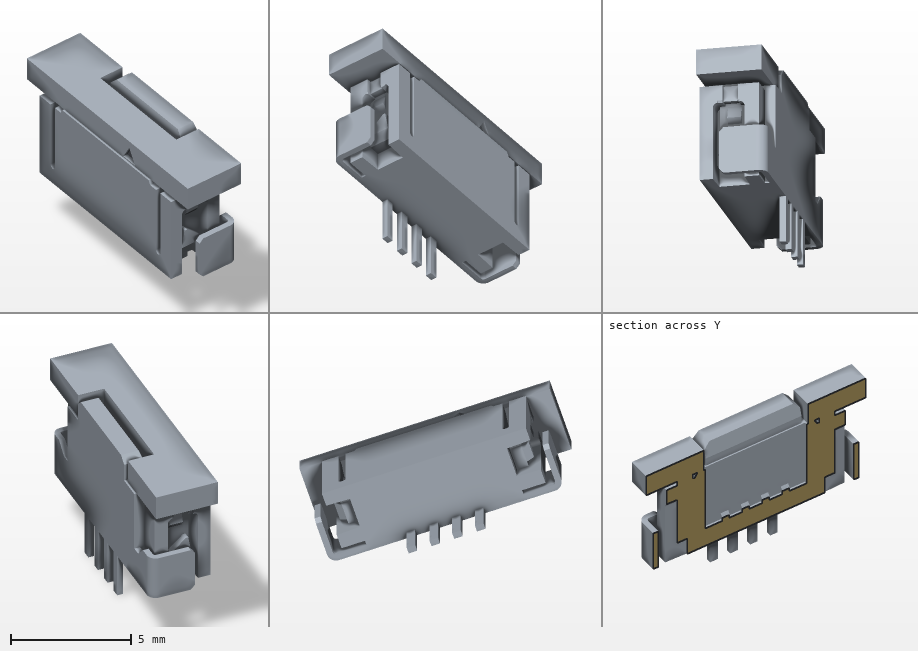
import cadquery as cq
import math


depth = 3.0
housing_top = 4.3
housing_width = 8.98
shoulder_top = 4.1
front_wall = 0.56
channel_back = 1.89
back_step = 2.54
core_width = 6.91
crown_width = 5.9
crown_chamfer_run = 0.11

channel_top = 3.34
channel_draft = 0.03
channel_radius = 0.22
groove_front = 0.97
groove_back = 1.65
groove_depth = 0.22
lintel_bevel_depth = 0.04
lintel_bevel_height = 0.1
lintel_bevel_back = 1.72
slot_width = 0.3
slot_bottom = 0.77

cover_width = 11.0
cover_thickness = 1.1
cover_front = 0.1
cover_depth = 2.8
cover_top = housing_top + cover_thickness
notch_width = 5.19
notch_front = 1.73
mark_width = 0.8
mark_height = 0.69
mark_bottom = 4.37
mark_depth = 0.2

arm_outer = 3.96
arm_neck_inner = 3.16
arm_front = 0.75
arm_neck_front = 0.31
arm_neck_bottom = 3.44
arm_bottom = 0.86
arm_chamfer_run = 0.18
arm_chamfer_rise = 0.2
bump_reach = 0.18
barb_reach = 0.31
bump_front, bump_back = 1.09, 1.69
bump_bottom, bump_peak, bump_top = 2.53, 2.77, 3.3
barb_back = 1.69
barb_top_front = 0.9
barb_top_back = 1.01
barb_back_height = 1.42
barb_peak = 1.15
barb_top = 2.02

tongue_width = 4.8
tongue_front = 2.02
tongue_bevel_side = 0.31
tongue_bevel_front = 0.18
tongue_end_bevel_height = 0.3
tongue_front_bevel_height = 0.7

cable_slot_width = 5.06
cable_slot_back = 1.96
cable_slot_depth = 3.3
contact_count = 4
contact_pitch = 1.0
contact_width = 0.37
contact_height = 0.33
pin_thickness = 0.26
pin_length = 2.0

bracket_width = 10.3
bracket_thickness = 0.26
bracket_height = 2.01
bracket_length = 2.01
bracket_inner_radius = 0.13
bracket_corner = 0.19
leg_taper_start = 4.35
leg_taper_end = 3.85

core_half = core_width / 2
housing_half = housing_width / 2
first_contact = -contact_pitch * (contact_count - 1) / 2
contact_centres = [first_contact + i * contact_pitch for i in range(contact_count)]


def block(x0, x1, y0, y1, z0, z1):
    """Box given by its limits along each axis."""
    return cq.Workplane("XY").box(x1 - x0, y1 - y0, z1 - z0, centered=False).translate((x0, y0, z0))


def front_prism(points, y0, y1):
    """Extrude an XZ outline from y0 to y1."""
    return cq.Workplane("XZ", origin=(0, y0, 0)).polyline(points).close().extrude(y0 - y1)


def side_prism(points, x0, x1):
    """Extrude a YZ outline from x0 to x1."""
    return cq.Workplane("YZ", origin=(x0, 0, 0)).polyline(points).close().extrude(x1 - x0)


def both_sides(left):
    """Return the left-hand shape joined with its mirror image."""
    return left.union(left.mirror("YZ"))


def make_crown():
    """Raised middle of the housing top, with sloped ends."""
    half = crown_width / 2
    half_base = half + crown_chamfer_run
    outline = [
        (-half_base, shoulder_top),
        (half_base, shoulder_top),
        (half, housing_top),
        (-half, housing_top),
    ]
    return front_prism(outline, 0, channel_back)


def make_channel():
    """Left-hand channel, open at the side and bottom, with a groove above and a front slot."""
    room = (
        cq.Workplane("XY")
        .polyline(
            [
                (-housing_half, front_wall),
                (-core_half, front_wall + channel_draft),
                (-core_half, channel_back),
                (-housing_half, channel_back + channel_draft),
            ]
        )
        .close()
        .extrude(channel_top)
        .faces(">Z")
        .edges("not |Y")
        .fillet(channel_radius)
    )
    groove_floor = housing_half - groove_depth
    groove_foot = channel_top + lintel_bevel_height
    groove = block(-housing_half, -groove_floor, groove_front, groove_back, groove_foot, shoulder_top)
    passage = block(-housing_half, -arm_outer, groove_front, groove_back, channel_top, groove_foot)
    lintel_bevel = front_prism(
        [
            (-housing_half, channel_top),
            (-housing_half + lintel_bevel_depth, channel_top),
            (-housing_half, groove_foot),
        ],
        arm_front,
        lintel_bevel_back,
    )
    slot_radius = slot_width / 2
    slot_centre = -core_half - slot_radius
    slot_round = slot_bottom + slot_radius
    slot = block(-core_half - slot_width, -core_half, 0, arm_front, slot_round, housing_top)
    slot_end = (
        cq.Workplane("XZ")
        .center(slot_centre, slot_round)
        .circle(slot_radius)
        .extrude(-arm_front)
    )
    upper_relief = passage.union(groove).union(lintel_bevel)
    return room.union(upper_relief).union(slot).union(slot_end)


def make_housing():
    flanks = block(-housing_half, housing_half, 0, back_step, 0, shoulder_top)
    core = block(-core_half, core_half, channel_back, depth, 0, housing_top)
    body = flanks.union(core).union(make_crown())
    return body.cut(both_sides(make_channel()))


def make_tongue():
    """Upright tongue with sloped top edges on the front and both ends."""
    half = tongue_width / 2
    tongue = block(-half, half, tongue_front, depth, housing_top, cover_top)
    front_bevel = side_prism(
        [
            (tongue_front, cover_top - tongue_front_bevel_height),
            (tongue_front + tongue_bevel_front, cover_top),
            (tongue_front, cover_top),
        ],
        -half,
        half,
    )
    end_bevel = front_prism(
        [
            (-half, cover_top - tongue_end_bevel_height),
            (-half + tongue_bevel_side, cover_top),
            (-half, cover_top),
        ],
        tongue_front,
        depth,
    )
    return tongue.cut(front_bevel).cut(both_sides(end_bevel))


def make_cover():
    """Slider bar with a rear notch and a triangular mark over the last contact."""
    half = cover_width / 2
    cover_back = cover_front + cover_depth
    bar = block(-half, half, cover_front, cover_back, housing_top, cover_top)
    notch = block(-notch_width / 2, notch_width / 2, notch_front, cover_back, housing_top, cover_top)
    mark_centre = contact_centres[-1]
    mark = front_prism(
        [
            (mark_centre - mark_width / 2, mark_bottom),
            (mark_centre + mark_width / 2, mark_bottom),
            (mark_centre, mark_bottom + mark_height),
        ],
        cover_front,
        cover_front + mark_depth,
    )
    return bar.cut(notch).cut(mark)


def make_arm():
    """Left-hand cover arm with a sloped neck, an upper bump and a lower barb."""
    outline = [
        (arm_neck_front, housing_top),
        (arm_front, arm_neck_bottom),
        (arm_front, arm_bottom + arm_chamfer_rise),
        (arm_front + arm_chamfer_run, arm_bottom),
        (channel_back, arm_bottom),
        (channel_back, housing_top),
    ]
    stem = side_prism(outline, -arm_outer, -core_half)
    neck_limit = block(-arm_outer, -arm_neck_inner, 0, channel_back, shoulder_top, housing_top)
    neck = side_prism(outline, -arm_outer, -arm_neck_inner).intersect(neck_limit)
    bump = front_prism(
        [
            (-arm_outer, bump_bottom),
            (-arm_outer - bump_reach, bump_peak),
            (-arm_outer, bump_top),
        ],
        bump_front,
        bump_back,
    )
    barb_profile = front_prism(
        [
            (-arm_outer, arm_bottom),
            (-arm_outer - barb_reach, barb_peak),
            (-arm_outer - barb_reach, barb_top),
            (-arm_outer, barb_top),
        ],
        arm_front,
        barb_back,
    )
    barb_limit = side_prism(
        [
            (arm_front + arm_chamfer_run, arm_bottom),
            (arm_front, arm_bottom + arm_chamfer_rise),
            (arm_front, barb_peak),
            (barb_top_front, barb_top),
            (barb_top_back, barb_top),
            (barb_back, barb_back_height),
            (barb_back, arm_bottom),
        ],
        -arm_outer - barb_reach,
        -arm_outer,
    )
    return stem.union(neck).union(bump).union(barb_profile.intersect(barb_limit))


def make_bracket():
    """Left-hand bracket: side plate, rounded bend and a back leg that steps down inward."""
    outer_x = -bracket_width / 2
    inner_x = outer_x + bracket_thickness
    plate_front = depth - bracket_length
    leg_front = depth - bracket_thickness
    outer_radius = bracket_inner_radius + bracket_thickness
    bend_x = outer_x + outer_radius
    bend_y = depth - outer_radius
    diagonal = math.sqrt(0.5)
    strip = (
        cq.Workplane("XY")
        .moveTo(outer_x, plate_front)
        .lineTo(outer_x, bend_y)
        .threePointArc(
            (bend_x - outer_radius * diagonal, bend_y + outer_radius * diagonal),
            (bend_x, depth),
        )
        .lineTo(-core_half, depth)
        .lineTo(-core_half, leg_front)
        .lineTo(bend_x, leg_front)
        .threePointArc(
            (bend_x - bracket_inner_radius * diagonal, bend_y + bracket_inner_radius * diagonal),
            (inner_x, bend_y),
        )
        .lineTo(inner_x, plate_front)
        .close()
        .extrude(bracket_height)
        .edges("|X and <Y")
        .chamfer(bracket_corner)
    )
    taper_drop = leg_taper_start - leg_taper_end
    taper = front_prism(
        [
            (-leg_taper_start, bracket_height),
            (-leg_taper_end, bracket_height - taper_drop),
            (-core_half, bracket_height - taper_drop),
            (-core_half, bracket_height),
        ],
        leg_front,
        depth,
    )
    return strip.cut(taper)


def make_cable_slot():
    """Opening in the housing top, in front of the tongue."""
    half = cable_slot_width / 2
    floor = housing_top - cable_slot_depth
    return block(-half, half, notch_front, cable_slot_back, floor, housing_top)


def make_contact(centre):
    """Solder pin below the housing and a sloped wedge on the cable slot floor."""
    x0 = centre - contact_width / 2
    x1 = centre + contact_width / 2
    pin = block(x0, x1, depth - pin_thickness, depth, -pin_length, 0)
    floor = housing_top - cable_slot_depth
    wedge = side_prism(
        [(notch_front, floor), (cable_slot_back, floor), (cable_slot_back, floor + contact_height)],
        x0,
        x1,
    )
    return pin.union(wedge)


connector = make_housing().cut(make_cable_slot()).union(make_tongue()).union(make_cover())
connector = connector.union(both_sides(make_arm())).union(both_sides(make_bracket()))
for contact_centre in contact_centres:
    connector = connector.union(make_contact(contact_centre))

result = connector